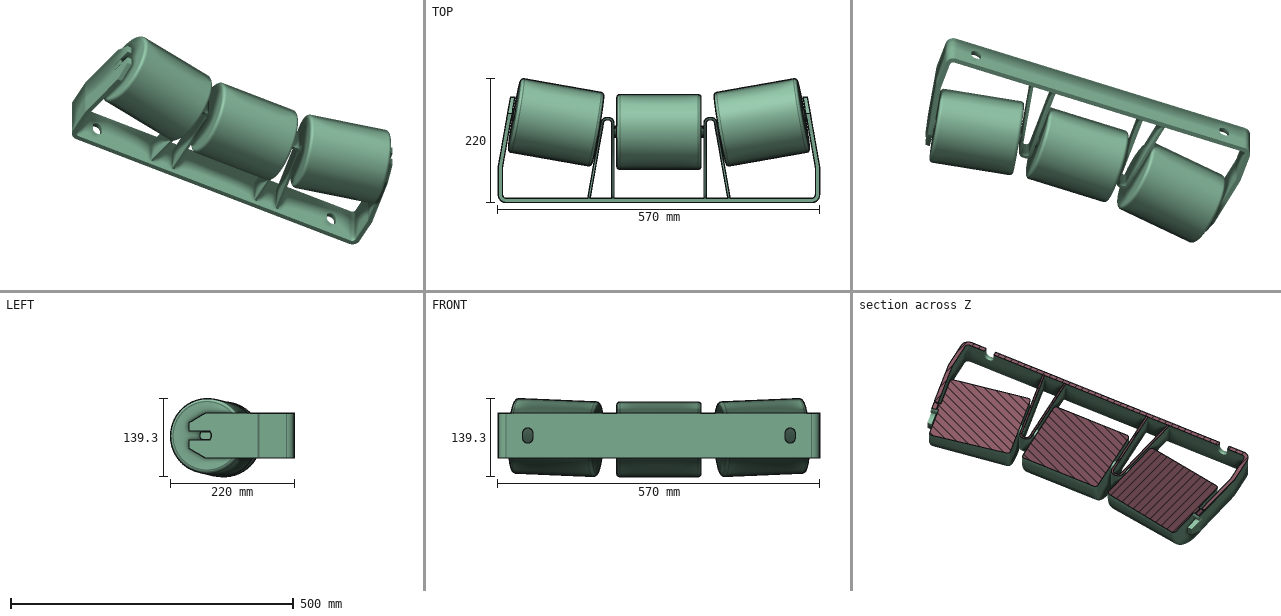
import cadquery as cq
import math

FRAME_LENGTH = 570.0
FRAME_HEIGHT = 80.0
FRAME_THICKNESS = 8.0
FRAME_BEND_RADIUS = 14.0
ARM_BEND_Y = 64.0
ARM_TAPER_Y = 158.0
ARM_TIP_Y = 187.0
ARM_TIP_HEIGHT = 45.5
LEAN_ANGLE = 10.0
MOUNT_SLOT_SPACING = 465.0
MOUNT_SLOT_LENGTH = 27.0
MOUNT_SLOT_WIDTH = 18.0

DRUM_DIAMETER = 133.0
DRUM_LENGTH = 150.0
DRUM_EDGE_RADIUS = 5.5
SHAFT_DIAMETER = 20.5
FLAT_WIDTH = 13.5
SHOULDER_LENGTH = 3.0
SHAFT_SLOT_WIDTH = 15.5
SHAFT_SLOT_CLEARANCE = 0.3

PLATE_GAP = 4.5
LEANING_LEG_GAP = 3.5
MIDDLE_ROLLER_Y = 125.5
MIDDLE_ROLLER_DROP = 7.0
SIDE_ROLLER_ALONG_ARM = 95.0

BRACKET_THICKNESS = 4.5
BRACKET_TOP_Y = 151.0
BRACKET_BEND_RADIUS = 10.0
BRACKET_HEIGHT = 47.0

LEAN = math.radians(LEAN_ANGLE)
HALF_LENGTH = FRAME_LENGTH / 2
SHAFT_RADIUS = SHAFT_DIAMETER / 2
PLATE_DISTANCE = DRUM_LENGTH / 2 + PLATE_GAP
LEANING_LEG_DISTANCE = DRUM_LENGTH / 2 + LEANING_LEG_GAP

OUTER_SEAT = PLATE_DISTANCE + FRAME_THICKNESS / 2
INNER_SEAT = LEANING_LEG_DISTANCE + BRACKET_THICKNESS / 2
TILT = math.asin(MIDDLE_ROLLER_DROP / (OUTER_SEAT + INNER_SEAT))

SHAFT_X = -HALF_LENGTH + SIDE_ROLLER_ALONG_ARM * math.sin(LEAN)
SHAFT_Y = ARM_BEND_Y + SIDE_ROLLER_ALONG_ARM * math.cos(LEAN)
ARM_FACE_DISTANCE = PLATE_DISTANCE + FRAME_THICKNESS
SIDE_ROLLER_X = SHAFT_X + ARM_FACE_DISTANCE * math.cos(LEAN)
SIDE_ROLLER_Y = SHAFT_Y - ARM_FACE_DISTANCE * math.sin(LEAN)
SIDE_ROLLER_Z = -OUTER_SEAT * math.sin(TILT)


def shaft_slot():
    """Cutter for the left arm's slot: open at the arm's tip, with a round seat for the shaft."""
    seat_radius = SHAFT_RADIUS + SHAFT_SLOT_CLEARANCE
    half_width = SHAFT_SLOT_WIDTH / 2
    corner = -math.sqrt(seat_radius**2 - half_width**2)
    through = 2 * FRAME_THICKNESS
    return (
        cq.Workplane("YZ")
        .moveTo(ARM_TIP_Y, half_width)
        .lineTo(corner, half_width)
        .threePointArc((-seat_radius, 0), (corner, -half_width))
        .lineTo(ARM_TIP_Y, -half_width)
        .close()
        .extrude(through, both=True)
        .rotate((0, 0, 0), (0, 0, 1), -LEAN_ANGLE)
        .translate((SHAFT_X, SHAFT_Y, 0))
    )


def make_frame():
    tip_x = HALF_LENGTH - (ARM_TIP_Y - ARM_BEND_Y) * math.tan(LEAN)
    half_outline = [(HALF_LENGTH, 0), (HALF_LENGTH, ARM_BEND_Y), (tip_x, ARM_TIP_Y)]
    outline = half_outline + [(-x, y) for x, y in reversed(half_outline)]
    frame = (
        cq.Workplane("XY")
        .polyline(outline)
        .close()
        .extrude(FRAME_HEIGHT / 2, both=True)
        .edges("|Z and (not >Y)")
        .fillet(FRAME_BEND_RADIUS)
        .faces(">Y or >Z or <Z")
        .shell(-FRAME_THICKNESS)
    )

    side_outline = [
        (0, FRAME_HEIGHT / 2),
        (ARM_TAPER_Y, FRAME_HEIGHT / 2),
        (ARM_TIP_Y, ARM_TIP_HEIGHT / 2),
        (ARM_TIP_Y, -ARM_TIP_HEIGHT / 2),
        (ARM_TAPER_Y, -FRAME_HEIGHT / 2),
        (0, -FRAME_HEIGHT / 2),
    ]
    side_shape = cq.Workplane("YZ").polyline(side_outline).close().extrude(HALF_LENGTH, both=True)
    frame = frame.intersect(side_shape)

    left_slot = shaft_slot()
    frame = frame.cut(left_slot).cut(left_slot.mirror("YZ"))

    mount_slots = (
        cq.Workplane("XZ")
        .pushPoints([(-MOUNT_SLOT_SPACING / 2, 0), (MOUNT_SLOT_SPACING / 2, 0)])
        .slot2D(MOUNT_SLOT_LENGTH, MOUNT_SLOT_WIDTH, 90)
        .extrude(-FRAME_THICKNESS)
    )
    return frame.cut(mount_slots)


def make_roller(left_reach, right_reach):
    """Roller along X with its drum centred on the origin; the shaft reaches this far to each side."""

    def cylinder(radius, left_end, right_end):
        base = cq.Workplane("YZ").workplane(offset=left_end)
        return base.circle(radius).extrude(right_end - left_end)

    drum = cylinder(DRUM_DIAMETER / 2, -DRUM_LENGTH / 2, DRUM_LENGTH / 2)
    drum = drum.edges("%CIRCLE").fillet(DRUM_EDGE_RADIUS)
    shoulder_end = DRUM_LENGTH / 2 + SHOULDER_LENGTH
    shoulders = cylinder(SHAFT_RADIUS, -shoulder_end, shoulder_end)
    shaft = cylinder(SHAFT_RADIUS, -left_reach, right_reach)
    flats = cq.Workplane("XY").box(2 * max(left_reach, right_reach), SHAFT_DIAMETER, FLAT_WIDTH)
    return drum.union(shoulders).union(shaft.intersect(flats))


def make_middle_roller():
    leg_far_face = PLATE_DISTANCE + BRACKET_THICKNESS
    roller = make_roller(leg_far_face, leg_far_face)
    roller = roller.rotate((0, 0, 0), (1, 0, 0), 90)
    return roller.translate((0, MIDDLE_ROLLER_Y, -MIDDLE_ROLLER_DROP))


def make_left_roller():
    roller = make_roller(ARM_FACE_DISTANCE, LEANING_LEG_DISTANCE + BRACKET_THICKNESS)
    roller = roller.rotate((0, 0, 0), (0, 1, 0), math.degrees(TILT))
    roller = roller.rotate((0, 0, 0), (0, 0, 1), -LEAN_ANGLE)
    return roller.translate((SIDE_ROLLER_X, SIDE_ROLLER_Y, SIDE_ROLLER_Z))


def make_left_bracket(side_roller, middle_roller):
    """Bracket with one leaning leg and one straight leg, pierced by the shafts of two rollers."""
    face_x = SIDE_ROLLER_X + LEANING_LEG_DISTANCE * math.cos(LEAN)
    face_y = SIDE_ROLLER_Y - LEANING_LEG_DISTANCE * math.sin(LEAN)

    def leaning_face(y):
        return (face_x + (y - face_y) * math.tan(LEAN), y)

    outline = [
        leaning_face(FRAME_THICKNESS),
        leaning_face(BRACKET_TOP_Y),
        (-PLATE_DISTANCE, BRACKET_TOP_Y),
        (-PLATE_DISTANCE, FRAME_THICKNESS),
    ]
    bracket = (
        cq.Workplane("XY")
        .polyline(outline)
        .close()
        .extrude(BRACKET_HEIGHT / 2, both=True)
        .faces(">Y")
        .edges("|Z")
        .fillet(BRACKET_BEND_RADIUS)
        .faces("<Y or >Z or <Z")
        .shell(-BRACKET_THICKNESS)
        .translate((0, 0, -MIDDLE_ROLLER_DROP))
    )
    return bracket.cut(side_roller).cut(middle_roller)


frame = make_frame()
middle_roller = make_middle_roller()
left_roller = make_left_roller()
left_bracket = make_left_bracket(left_roller, middle_roller)

side_bodies = []
for body in (left_roller, left_bracket):
    side_bodies.append(body.val())
    side_bodies.append(body.mirror("YZ").val())

result = cq.Compound.makeCompound([frame.val(), middle_roller.val(), *side_bodies])